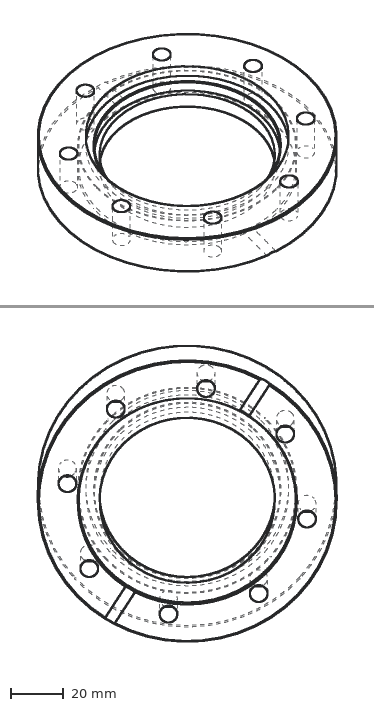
import cadquery as cq

ring_diameter = 113.5
ring_height = 17.5
edge_chamfer = 0.5
lip_diameter = 77.1
lip_height = 5.0
seat_diameter = 83.2

bolt_count = 8
bolt_circle_diameter = 92.0
bolt_hole_diameter = 6.7
first_bolt_angle = 180.0 / bolt_count

groove_radius = 3.0
groove_depth = 0.9

insert_diameter = 82.4
insert_recess = 1.2
socket_diameter = 70.5
socket_depth = 4.7
socket_chamfer = 0.3
bore_diameter = 66.5

insert_top = ring_height - lip_height
insert_height = insert_top - insert_recess


def cylinder(diameter, height, base_z):
    """Vertical cylinder centred on the Z axis."""
    return cq.Workplane("XY").workplane(offset=base_z).circle(diameter / 2).extrude(height)


def bolt_holes():
    return (
        cq.Workplane("XY")
        .polarArray(bolt_circle_diameter / 2, first_bolt_angle, 360, bolt_count)
        .circle(bolt_hole_diameter / 2)
        .extrude(ring_height)
    )


def leak_groove():
    """Round-topped groove running across the full diameter."""
    axis_z = groove_depth - groove_radius
    return (
        cq.Workplane("YZ")
        .center(0, axis_z)
        .circle(groove_radius)
        .extrude(ring_diameter / 2, both=True)
    )


def make_ring():
    blank = cylinder(ring_diameter, ring_height, 0).edges().chamfer(edge_chamfer)
    opening = cylinder(lip_diameter, ring_height, 0)
    seat = cylinder(seat_diameter, insert_top, 0)
    return blank.cut(opening).cut(seat).cut(bolt_holes()).cut(leak_groove())


def make_insert():
    blank = cylinder(insert_diameter, insert_height, insert_recess)
    bore = cylinder(bore_diameter, insert_height, insert_recess)
    socket = cylinder(socket_diameter, socket_depth, insert_top - socket_depth)
    body = blank.cut(bore).cut(socket)
    return body.faces(">Z").edges(cq.selectors.RadiusNthSelector(0)).chamfer(socket_chamfer)


ring = make_ring()
insert = make_insert()
result = cq.Compound.makeCompound([ring.val(), insert.val()])